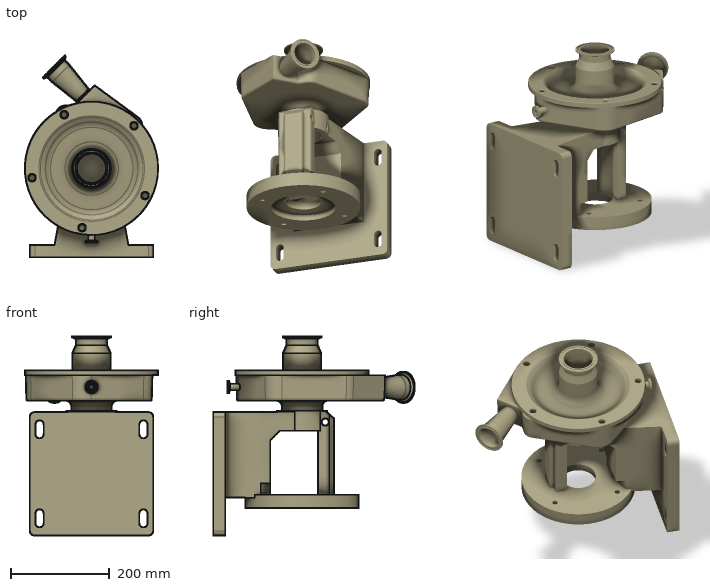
import cadquery as cq
import math


plate_size = 250.0
plate_thickness = 25.0
plate_back_y = -180.0
plate_corner_radius = 10.0
plate_inner_y = plate_back_y + plate_thickness
slot_width = 16.0
slot_length = 36.0
slot_offset_x = 105.0
slot_offset_z = 90.0

motor_flange_radius = 115.0
motor_flange_bottom_z = 55.5
motor_flange_top_z = 83.0
motor_flange_bore_radius = 35.5
motor_spigot_radius = 65.0
motor_spigot_depth = 11.5
motor_bolt_circle_radius = 92.0
motor_bolt_diameter = 11.0
motor_bolt_count = 4
motor_first_bolt_angle = 45.0

ring_radius = 51.0
ring_bore_radius = 38.0
ring_bottom_z = 212.0
ring_top_z = 252.5
ring_hole_diameter = 14.5
ring_hole_z = 226.0
ring_hole_depth = 5.0

arm_root_half_width = 75.0
arm_tip_y = -15.0
arm_tip_half_width = math.sqrt(ring_radius**2 - arm_tip_y**2)
arm_inner_y = -64.0
arm_chamfer = 19.0
arm_step_y = -96.0
arm_bottom_z = 77.0
relief_height = 23.0
relief_length_y = 20.0
relief_depth_x = 43.0

column_half_width = 35.0
column_inner_y = 32.0
column_back_y = 55.0
column_corner_radius = 5.0
column_rib_half_width = 20.0
column_rib_back_y = 65.0
column_chamfer_y = 18.5
column_chamfer_z = 15.5
column_hole_diameter = 14.0
column_hole_y = 47.0
column_hole_z = 229.7

casing_top_z = 324.5
casing_bottom_z = 272.5
casing_draft = 1.5
casing_edge_radius = 4.0
pentagon_inradius = 115.3
pentagon_corner_radius = 33.5
first_side_angle = 9.0
side_count = 5
side_pitch = 360.0 / side_count
lobe_corner_radius = 22.5
lobe_flank_angle = 53.7
lobe_flank_distance = 139.0
lobe_shoulder_angle = 90.0
lobe_shoulder_distance = 127.6
discharge_angle = 135.0
discharge_face_distance = 114.2

neck_radius = 41.4
neck_fillet_radius = 10.0

cover_radius = 135.0
cover_top_z = 334.5
cover_rim_radius = 1.0
dish_rim_radius = 106.8
dish_lip_radius = 104.0
dish_lip_drop = 1.05
dish_wall_radius = 93.8
dish_wall_drop = 10.0
dish_floor_radius = 83.4
dish_depth = 14.0
dish_lip_sag = 0.27
dish_floor_sag = -1.0
cover_bolt_circle_radius = 121.6
cover_bolt_diameter = 13.6
cover_bolt_countersink_diameter = 15.8
cover_bolt_depth = 12.0
first_bolt_angle = first_side_angle + side_pitch / 2

inlet_top_z = 403.5
inlet_base_radius = 39.0
inlet_tube_radius = 32.0
inlet_bore_radius = 29.5
inlet_ferrule_radius = 39.5
inlet_shoulder_z = 369.0
inlet_neck_z = 385.0
inlet_bore_bottom_z = 299.0
inlet_base_fillet = 15.0

ferrule_rim = 2.8
ferrule_length = 5.8
groove_depth = 1.5
groove_inner_fraction = 0.33
groove_outer_fraction = 0.73

nozzle_z = 300.0
nozzle_offset = 91.7
nozzle_end = 199.25
nozzle_cone_start = 180.0
nozzle_cone_end = 117.0
nozzle_tube_radius = 25.0
nozzle_small_radius = 18.0
nozzle_stub_radius = 17.0
nozzle_wall = 1.6
nozzle_ferrule_radius = 31.9

drain_z = 300.5
drain_end = 151.0
drain_tube_radius = 6.7
drain_bore_radius = 5.0
drain_ferrule_radius = 12.75
drain_ferrule_length = 5.5
drain_ferrule_rim = 3.5
drain_bore_depth = 25.0

overlap = 10.0


def cylinder(radius, bottom_z, top_z):
    return cq.Workplane("XY").workplane(offset=bottom_z).circle(radius).extrude(top_z - bottom_z)


def revolve_points(points):
    return cq.Workplane("XZ").polyline(points).close().revolve(360, (0, 0, 0), (0, 1, 0))


def polar(radius, angle):
    return (radius * math.cos(math.radians(angle)), radius * math.sin(math.radians(angle)))


def intersect_sides(side, other):
    """Meeting point of two straight sides, each given first by normal angle and distance from the axis."""
    nx, ny = polar(1, side[0])
    mx, my = polar(1, other[0])
    det = nx * my - ny * mx
    return ((side[1] * my - other[1] * ny) / det, (nx * other[1] - mx * side[1]) / det)


def rounded_outline(sides):
    """Closed outline of sides (normal angle, distance, radius of the corner to the next side)."""
    corners = []
    for side, following in zip(sides, sides[1:] + sides[:1]):
        apex = cq.Vector(*intersect_sides(side, following))
        half_turn = math.radians((following[0] - side[0]) % 360) / 2
        radius = side[2]
        if radius == 0:
            corners.append([apex])
            continue
        setback = radius * math.tan(half_turn)
        arrival = cq.Vector(*polar(1, side[0] + 90))
        departure = cq.Vector(*polar(1, following[0] + 90))
        bisector = (departure - arrival).normalized()
        rise = radius * (1 / math.cos(half_turn) - 1)
        corners.append([apex - arrival * setback, apex + bisector * rise, apex + departure * setback])
    outline = cq.Workplane("XY").moveTo(*corners[-1][-1].toTuple()[:2])
    for corner in corners:
        outline = outline.lineTo(*corner[0].toTuple()[:2])
        if len(corner) > 1:
            outline = outline.threePointArc(corner[1].toTuple()[:2], corner[2].toTuple()[:2])
    return outline.close()


def mounting_plate():
    plate = (
        cq.Workplane("XZ", origin=(0, plate_inner_y, plate_size / 2))
        .rect(plate_size, plate_size)
        .extrude(plate_thickness)
        .edges("|Y")
        .fillet(plate_corner_radius)
    )
    slots = (
        cq.Workplane("XZ", origin=(0, plate_inner_y, plate_size / 2))
        .rect(2 * slot_offset_x, 2 * slot_offset_z, forConstruction=True)
        .vertices()
        .slot2D(slot_length, slot_width, 90)
        .extrude(plate_thickness)
    )
    return plate.cut(slots)


def bracket_arm():
    profile = [
        (plate_inner_y, plate_size),
        (arm_tip_y, plate_size),
        (arm_tip_y, ring_bottom_z),
        (arm_inner_y + arm_chamfer, ring_bottom_z),
        (arm_inner_y, ring_bottom_z - arm_chamfer),
        (arm_inner_y, motor_flange_top_z),
        (arm_step_y, motor_flange_top_z),
        (arm_step_y, arm_bottom_z),
        (plate_inner_y, arm_bottom_z),
    ]
    side_shape = (
        cq.Workplane("YZ").polyline(profile).close().extrude(arm_root_half_width, both=True)
    )
    plan = [
        (-arm_root_half_width, plate_inner_y),
        (arm_root_half_width, plate_inner_y),
        (arm_tip_half_width, arm_tip_y),
        (-arm_tip_half_width, arm_tip_y),
    ]
    arm = side_shape.intersect(cq.Workplane("XY").polyline(plan).close().extrude(plate_size))
    slope_y = (arm_root_half_width - arm_tip_half_width) / (arm_tip_y - plate_inner_y)
    relief_outer_y = arm_inner_y - relief_length_y
    relief_outer_x = arm_tip_half_width + (arm_tip_y - relief_outer_y) * slope_y
    relief = (
        cq.Workplane("XY")
        .workplane(offset=motor_flange_top_z)
        .moveTo(relief_outer_x, relief_outer_y)
        .lineTo(relief_outer_x - relief_depth_x, arm_inner_y)
        .lineTo(relief_outer_x, arm_inner_y)
        .close()
        .extrude(relief_height)
    )
    return arm.cut(relief).cut(relief.mirror("YZ"))


def column():
    height = ring_top_z - motor_flange_top_z
    base = cq.Workplane("XY").workplane(offset=motor_flange_top_z)

    def bar(half_width, back_y):
        return (
            base.moveTo(0, (column_inner_y + back_y) / 2)
            .rect(2 * half_width, back_y - column_inner_y)
            .extrude(height)
            .edges("|Z and >Y")
            .fillet(column_corner_radius)
        )

    body = bar(column_half_width, column_back_y).union(bar(column_rib_half_width, column_rib_back_y))
    corner = (
        cq.Workplane("YZ")
        .moveTo(column_rib_back_y, ring_top_z)
        .lineTo(column_rib_back_y - column_chamfer_y, ring_top_z)
        .lineTo(column_rib_back_y, ring_top_z - column_chamfer_z)
        .close()
        .extrude(column_half_width, both=True)
    )
    cross_hole = (
        cq.Workplane("YZ", origin=(0, column_hole_y, column_hole_z))
        .circle(column_hole_diameter / 2)
        .extrude(column_half_width, both=True)
    )
    return body.cut(corner), cross_hole


def lantern():
    flange = cylinder(motor_flange_radius, motor_flange_bottom_z, motor_flange_top_z)
    ring = cylinder(ring_radius, ring_bottom_z, ring_top_z)
    upright, cross_hole = column()
    body = flange.union(ring).union(bracket_arm()).union(upright)
    body = body.cut(cylinder(ring_bore_radius, motor_flange_top_z, ring_top_z))
    body = body.cut(cylinder(motor_flange_bore_radius, motor_flange_bottom_z, motor_flange_top_z))
    spigot_top_z = motor_flange_bottom_z + motor_spigot_depth
    body = body.cut(cylinder(motor_spigot_radius, motor_flange_bottom_z, spigot_top_z))
    bolt_holes = (
        cq.Workplane("XY")
        .workplane(offset=motor_flange_bottom_z)
        .polarArray(motor_bolt_circle_radius, motor_first_bolt_angle, 360, motor_bolt_count)
        .circle(motor_bolt_diameter / 2)
        .extrude(motor_flange_top_z - motor_flange_bottom_z)
    )
    side_hole = (
        cq.Workplane("YZ", origin=(-ring_radius, 0, ring_hole_z))
        .circle(ring_hole_diameter / 2)
        .extrude(ring_hole_depth)
    )
    return body.cut(bolt_holes).cut(cross_hole).cut(side_hole)


def casing():
    pentagon = [
        (first_side_angle + side_pitch * index, pentagon_inradius, pentagon_corner_radius)
        for index in range(2, side_count)
    ]
    lobe = [
        (first_side_angle, pentagon_inradius, lobe_corner_radius),
        (lobe_flank_angle, lobe_flank_distance, 0),
        (discharge_angle, discharge_face_distance, 0),
        (lobe_shoulder_angle, lobe_shoulder_distance, lobe_corner_radius),
    ]
    return (
        rounded_outline(lobe + pentagon)
        .extrude(casing_bottom_z - casing_top_z, taper=casing_draft)
        .translate((0, 0, casing_top_z))
        .faces("<Z")
        .edges()
        .fillet(casing_edge_radius)
    )


def neck():
    flare_z = casing_bottom_z - neck_fillet_radius
    mid = neck_fillet_radius * (1 - math.sqrt(0.5))
    return (
        cq.Workplane("XZ")
        .moveTo(0, ring_top_z)
        .lineTo(neck_radius, ring_top_z)
        .lineTo(neck_radius, flare_z)
        .threePointArc(
            (neck_radius + mid, casing_bottom_z - mid),
            (neck_radius + neck_fillet_radius, casing_bottom_z),
        )
        .lineTo(0, casing_bottom_z)
        .close()
        .revolve(360, (0, 0, 0), (0, 1, 0))
    )


def cover():
    disc = cylinder(cover_radius, casing_top_z, cover_top_z).faces(">Z").edges().fillet(cover_rim_radius)
    floor_z = cover_top_z - dish_depth
    base_arc = inlet_base_fillet * (1 - math.sqrt(0.5))
    dish = (
        cq.Workplane("XZ")
        .moveTo(inlet_base_radius, cover_top_z + overlap)
        .lineTo(inlet_base_radius, floor_z + inlet_base_fillet)
        .threePointArc(
            (inlet_base_radius + base_arc, floor_z + base_arc),
            (inlet_base_radius + inlet_base_fillet, floor_z),
        )
        .lineTo(dish_floor_radius, floor_z)
        .sagittaArc((dish_wall_radius, cover_top_z - dish_wall_drop), dish_floor_sag)
        .lineTo(dish_lip_radius, cover_top_z - dish_lip_drop)
        .sagittaArc((dish_rim_radius, cover_top_z), dish_lip_sag)
        .lineTo(dish_rim_radius, cover_top_z + overlap)
        .close()
        .revolve(360, (0, 0, 0), (0, 1, 0))
    )
    return disc, dish


def cover_bolt_holes():
    hole_radius = cover_bolt_diameter / 2
    mouth_radius = cover_bolt_countersink_diameter / 2
    hole = revolve_points(
        [
            (0, cover_top_z),
            (mouth_radius, cover_top_z),
            (hole_radius, cover_top_z - (mouth_radius - hole_radius)),
            (hole_radius, cover_top_z - cover_bolt_depth),
            (0, cover_top_z - cover_bolt_depth),
        ]
    ).translate((cover_bolt_circle_radius, 0, 0))
    holes = cq.Workplane("XY")
    for index in range(side_count):
        holes = holes.add(hole.rotate((0, 0, 0), (0, 0, 1), first_bolt_angle + index * side_pitch))
    return holes.combine()


def ferrule_profile(tube_radius, ferrule_radius, end, rim, length):
    """Outline points from the ferrule's face back to its tube."""
    return [(ferrule_radius, end), (ferrule_radius, end - rim), (tube_radius, end - length)]


def gasket_groove(bore_radius, ferrule_radius, end):
    face_width = ferrule_radius - bore_radius
    outer_radius = bore_radius + groove_outer_fraction * face_width
    inner_radius = bore_radius + groove_inner_fraction * face_width
    groove = cylinder(outer_radius, end - groove_depth, end)
    return groove.cut(cylinder(inner_radius, end - groove_depth, end))


def inlet():
    points = [(0, inlet_top_z)]
    points += ferrule_profile(
        inlet_tube_radius, inlet_ferrule_radius, inlet_top_z, ferrule_rim, ferrule_length
    )
    points += [
        (inlet_tube_radius, inlet_neck_z),
        (inlet_base_radius, inlet_shoulder_z),
        (inlet_base_radius, casing_top_z),
        (0, casing_top_z),
    ]
    groove = gasket_groove(inlet_bore_radius, inlet_ferrule_radius, inlet_top_z)
    bore = cylinder(inlet_bore_radius, inlet_bore_bottom_z, inlet_top_z)
    return revolve_points(points).cut(groove), bore


def place_nozzle(shape):
    x, y = polar(nozzle_offset, discharge_angle - 90)
    upright = shape.rotate((0, 0, 0), (0, 1, 0), 90)
    return upright.rotate((0, 0, 0), (0, 0, 1), discharge_angle).translate((x, y, nozzle_z))


def nozzle():
    points = [(0, nozzle_end)]
    points += ferrule_profile(
        nozzle_tube_radius, nozzle_ferrule_radius, nozzle_end, ferrule_rim, ferrule_length
    )
    points += [
        (nozzle_tube_radius, nozzle_cone_start),
        (nozzle_small_radius, nozzle_cone_end),
        (nozzle_stub_radius, nozzle_cone_end),
        (nozzle_stub_radius, discharge_face_distance - overlap),
        (0, discharge_face_distance - overlap),
    ]
    bore_radius = nozzle_tube_radius - nozzle_wall
    bore_end_radius = nozzle_small_radius - nozzle_wall
    bore = revolve_points(
        [
            (0, nozzle_end),
            (bore_radius, nozzle_end),
            (bore_radius, nozzle_cone_start),
            (bore_end_radius, nozzle_cone_end),
            (0, nozzle_cone_end),
        ]
    )
    groove = gasket_groove(bore_radius, nozzle_ferrule_radius, nozzle_end)
    return place_nozzle(revolve_points(points).cut(bore).cut(groove))


def place_drain(shape):
    return shape.rotate((0, 0, 0), (1, 0, 0), 90).translate((0, 0, drain_z))


def drain():
    root = pentagon_inradius - overlap
    points = [(0, drain_end)]
    points += ferrule_profile(
        drain_tube_radius, drain_ferrule_radius, drain_end, drain_ferrule_rim, drain_ferrule_length
    )
    points += [(drain_tube_radius, root), (0, root)]
    groove = gasket_groove(drain_bore_radius, drain_ferrule_radius, drain_end)
    bore = cylinder(drain_bore_radius, drain_end - drain_bore_depth, drain_end)
    return place_drain(revolve_points(points).cut(groove)), place_drain(bore)


def pump():
    cover_disc, dish = cover()
    inlet_tube, inlet_bore = inlet()
    drain_tube, drain_bore = drain()
    body = casing().union(cover_disc).cut(dish)
    body = body.union(inlet_tube).union(neck()).union(nozzle()).union(drain_tube)
    return body.cut(cover_bolt_holes()).cut(inlet_bore).cut(drain_bore)


result = mounting_plate().union(lantern()).union(pump())